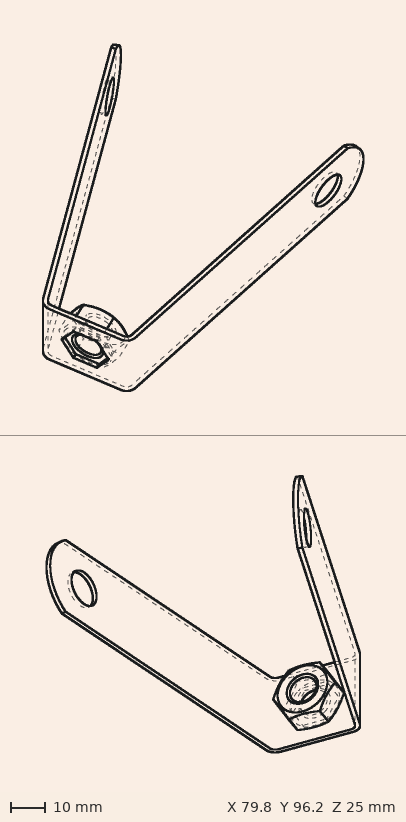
import cadquery as cq
import math

strap_width = 25.0
strap_thickness = 1.4
overall_length = 96.2
base_flat_length = 23.1
bend_outer_radius = 3.5
arm_tilt = 15.0
arm_end_radius = 14.9
arm_hole_diameter = 11.0
hex_opening_flats = 13.1

nut_flats = 17.0
nut_height = 8.1
nut_bore_diameter = 8.4
nut_bore_mouth_diameter = 10.0
nut_end_face_diameter = 15.8
nut_chamfer_angle = 30.0

tilt_sin = math.sin(math.radians(arm_tilt))
tilt_cos = math.cos(math.radians(arm_tilt))
base_half_flat = base_flat_length / 2
hex_corner_ratio = 1 / math.cos(math.pi / 6)

bend_inner_radius = bend_outer_radius - strap_thickness
arm_start_y = bend_outer_radius - bend_inner_radius * tilt_sin
arm_length = (overall_length - arm_start_y) / tilt_cos


def bend_point(radius, angle):
    """Point on the right-hand bend, with the angle in degrees from +X."""
    return (
        base_half_flat + radius * math.cos(math.radians(angle)),
        bend_outer_radius + radius * math.sin(math.radians(angle)),
    )


def along_arm(point, distance):
    """Point moved along the right-hand arm, toward its tip."""
    return (point[0] + distance * tilt_sin, point[1] + distance * tilt_cos)


def mirrored(point):
    return (-point[0], point[1])


def make_strap():
    """Constant-thickness strap with square arm ends."""
    bend_end_angle = -arm_tilt
    bend_mid_angle = (bend_end_angle - 90) / 2

    outer_start = bend_point(bend_outer_radius, -90)
    outer_mid = bend_point(bend_outer_radius, bend_mid_angle)
    outer_end = bend_point(bend_outer_radius, bend_end_angle)
    outer_tip = along_arm(outer_end, arm_length)

    inner_start = bend_point(bend_inner_radius, -90)
    inner_mid = bend_point(bend_inner_radius, bend_mid_angle)
    inner_end = bend_point(bend_inner_radius, bend_end_angle)
    inner_tip = along_arm(inner_end, arm_length)

    return (
        cq.Workplane("XY")
        .moveTo(*mirrored(outer_start))
        .lineTo(*outer_start)
        .threePointArc(outer_mid, outer_end)
        .lineTo(*outer_tip)
        .lineTo(*inner_tip)
        .lineTo(*inner_end)
        .threePointArc(inner_mid, inner_start)
        .lineTo(*mirrored(inner_start))
        .threePointArc(mirrored(inner_mid), mirrored(inner_end))
        .lineTo(*mirrored(inner_tip))
        .lineTo(*mirrored(outer_tip))
        .lineTo(*mirrored(outer_end))
        .threePointArc(mirrored(outer_mid), mirrored(outer_start))
        .close()
        .extrude(strap_width / 2, both=True)
    )


def make_arm_end_cutter(side):
    """Waste outside the rounded arm end, plus the hole concentric with it."""
    outer_tip = along_arm(bend_point(bend_outer_radius, -arm_tilt), arm_length)
    end_center = along_arm(outer_tip, -arm_end_radius)
    arm_face = cq.Workplane(
        cq.Plane(
            origin=(side * end_center[0], end_center[1], 0),
            xDir=(side * tilt_sin, tilt_cos, 0),
            normal=(side * tilt_cos, -tilt_sin, 0),
        )
    )
    cut_depth = 2 * strap_thickness
    end_block = arm_face.rect(2 * arm_end_radius, 2 * arm_end_radius).extrude(cut_depth, both=True)
    behind_center = (
        arm_face.center(-arm_end_radius / 2, 0)
        .rect(arm_end_radius, 2 * arm_end_radius)
        .extrude(cut_depth, both=True)
    )
    end_disc = arm_face.circle(arm_end_radius).extrude(cut_depth, both=True)
    hole = arm_face.circle(arm_hole_diameter / 2).extrude(cut_depth, both=True)
    return end_block.cut(behind_center).cut(end_disc).union(hole)


def make_bracket():
    hex_opening = (
        cq.Workplane("XZ")
        .polygon(6, hex_opening_flats * hex_corner_ratio)
        .extrude(-strap_thickness)
    )
    bracket = make_strap().cut(hex_opening)
    for side in (-1, 1):
        bracket = bracket.cut(make_arm_end_cutter(side))
    return bracket


def make_nut():
    """Hexagonal nut along Y, with conical corners and a countersunk bore."""
    chamfer_slope = math.tan(math.radians(nut_chamfer_angle))
    corner_radius = nut_flats * hex_corner_ratio / 2
    end_face_radius = nut_end_face_diameter / 2
    corner_drop = (corner_radius - end_face_radius) * chamfer_slope
    bore_radius = nut_bore_diameter / 2
    mouth_radius = nut_bore_mouth_diameter / 2
    mouth_depth = (mouth_radius - bore_radius) * chamfer_slope

    nut_start = strap_thickness
    nut_end = nut_start + nut_height
    hexagon = (
        cq.Workplane("XZ", origin=(0, nut_start, 0))
        .polygon(6, 2 * corner_radius)
        .extrude(-nut_height)
    )
    turned_envelope = (
        cq.Workplane("XY")
        .polyline(
            [
                (mouth_radius, nut_start),
                (end_face_radius, nut_start),
                (corner_radius, nut_start + corner_drop),
                (corner_radius, nut_end - corner_drop),
                (end_face_radius, nut_end),
                (mouth_radius, nut_end),
                (bore_radius, nut_end - mouth_depth),
                (bore_radius, nut_start + mouth_depth),
            ]
        )
        .close()
        .revolve(360, (0, 0, 0), (0, 1, 0))
    )
    return hexagon.intersect(turned_envelope)


bracket = make_bracket()
nut = make_nut()

result = cq.Compound.makeCompound([bracket.val(), nut.val()])